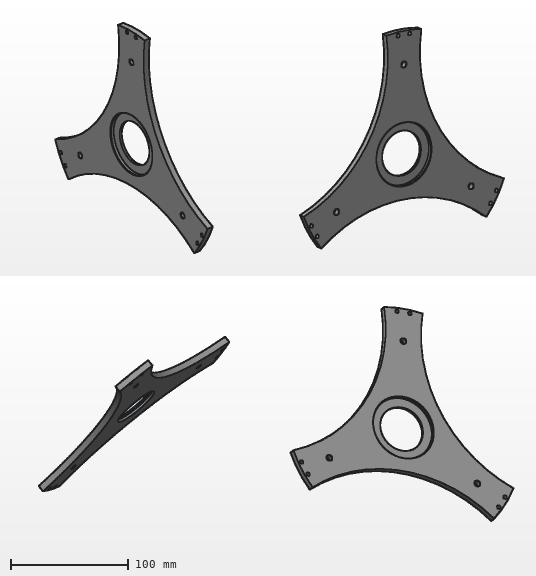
import cadquery as cq
import math

thickness = 6.0
arm_count = 3
tip_radius = 110.0
tip_half_width = 18.05
waist_radius = 40.2

bore_diameter = 40.0
recess_diameter = 56.0
recess_chamfer = 0.52
recess_depth = 3.5

arm_hole_radius = 80.0
arm_hole_diameter = 5.0
arm_hole_chamfer = 0.3

tip_hole_height = 106.5
tip_hole_spacing = 12.0
tip_hole_diameter = 3.3

arm_step = 360 / arm_count
arm_angles = [90 + i * arm_step for i in range(arm_count)]
tip_half_angle = math.degrees(math.asin(tip_half_width / tip_radius))


def polar(radius, angle):
    """Point in the XZ plane at a radius and an angle in degrees from +X."""
    a = math.radians(angle)
    return (radius * math.cos(a), radius * math.sin(a))


def front_plane():
    """XZ sketch plane on the front face; negative extrusion runs along +Y into the plate."""
    return cq.Workplane("XZ")


def make_plate():
    outline = front_plane().moveTo(*polar(tip_radius, arm_angles[0] - tip_half_angle))
    for angle in arm_angles:
        next_corner = angle + arm_step - tip_half_angle
        outline = outline.threePointArc(
            polar(tip_radius, angle), polar(tip_radius, angle + tip_half_angle)
        )
        outline = outline.threePointArc(
            polar(waist_radius, angle + arm_step / 2), polar(tip_radius, next_corner)
        )
    return outline.close().extrude(-thickness)


def cylinders(points, diameter, depth):
    """Cutting cylinders running from the front face into the plate."""
    return front_plane().pushPoints(points).circle(diameter / 2).extrude(-depth)


def chamfered_cutter(diameter, chamfer, depth):
    """Cutter centred on the Y axis, widened by a 45 degree chamfer at the front face."""
    radius = diameter / 2
    half_section = [
        (0, 0),
        (radius + chamfer, 0),
        (radius, chamfer),
        (radius, depth),
        (0, depth),
    ]
    return cq.Workplane("XY").polyline(half_section).close().revolve(360, (0, 0), (0, 1))


tip_hole_radius = math.hypot(tip_hole_height, tip_hole_spacing / 2)
tip_hole_angle = math.degrees(math.atan2(tip_hole_spacing / 2, tip_hole_height))
tip_holes = [
    polar(tip_hole_radius, angle + side * tip_hole_angle)
    for angle in arm_angles
    for side in (-1, 1)
]

result = (
    make_plate()
    .cut(cylinders([(0, 0)], bore_diameter, thickness))
    .cut(chamfered_cutter(recess_diameter, recess_chamfer, recess_depth))
    .cut(cylinders(tip_holes, tip_hole_diameter, thickness))
)

arm_hole = chamfered_cutter(arm_hole_diameter, arm_hole_chamfer, thickness)
for angle in arm_angles:
    x, z = polar(arm_hole_radius, angle)
    result = result.cut(arm_hole.translate((x, 0, z)))